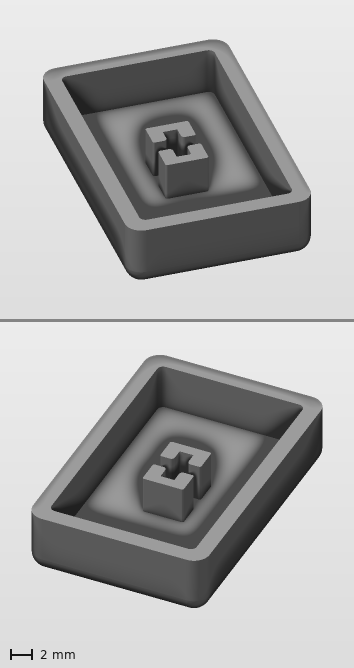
import cadquery as cq

length = 27.57
width = 18.05
height = 6.3
wall = 1.6
floor = wall
outer_radius = wall
pocket_corner_radius = 0.6

stem_length = 6.25
stem_width = 4.2
stem_height = 3.8
stem_corner_radius = 0.2
slot_width = 1.4
slot_length = 4.2
slot_mouth_radius = 0.35


def make_tray():
    """Open tray with rounded sides, a rounded underside and a flat floor."""
    body = (
        cq.Workplane("XY")
        .box(length, width, height, centered=(True, True, False))
        .edges("|Z")
        .fillet(outer_radius)
        .faces("<Z")
        .edges()
        .fillet(outer_radius)
    )
    pocket = (
        cq.Workplane("XY")
        .workplane(offset=floor)
        .rect(length - 2 * wall, width - 2 * wall)
        .extrude(height - floor)
        .edges("|Z")
        .fillet(pocket_corner_radius)
    )
    return body.cut(pocket)


def make_stem():
    """Two brackets standing on the tray floor, open sides facing each other."""
    base = cq.Workplane("XY").workplane(offset=floor)
    block = base.rect(stem_length, stem_width).extrude(stem_height)
    gap = base.rect(slot_width, stem_width).extrude(stem_height)
    slot = base.rect(slot_length, slot_width).extrude(stem_height)
    brackets = block.cut(gap).edges("|Z").fillet(stem_corner_radius).cut(slot)

    mouth_reach = (slot_width + slot_length) / 4
    mouth_corners = cq.selectors.BoxSelector(
        (-mouth_reach, -mouth_reach, floor),
        (mouth_reach, mouth_reach, floor + stem_height),
    )
    return brackets.edges("|Z").edges(mouth_corners).fillet(slot_mouth_radius)


result = make_tray().union(make_stem())